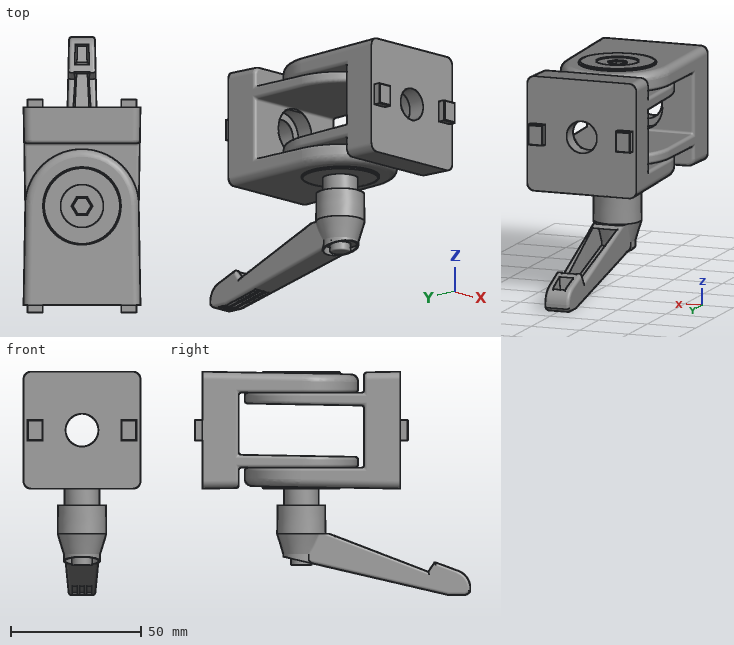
import cadquery as cq
import math


SIZE = 45.0
FACE_Y = 38.0
BLOCK_DEPTH = 14.0
DRAFT_ANGLE = math.radians(1.0)
DRAFT = math.tan(DRAFT_ANGLE)
TIP_RADIUS = (SIZE / 2 - FACE_Y * DRAFT) * math.cos(DRAFT_ANGLE)
MATE_Z = 14.4
INNER_ARM = 5.0
EDGE_FILLET = 3.0
CAVITY_FILLET = 1.3
ROOT_FILLET = 1.0
BORE_DIAMETER = 12.5
BORE_DEPTH = 7.0
COUNTERBORE_DIAMETER = 18.5
WALL_Y = FACE_Y - BLOCK_DEPTH

PAD_X = 18.0
PAD_WIDTH = 6.0
PAD_HEIGHT = 8.0
PAD_DEPTH = 3.0
PAD_CHAMFER = 0.3

DISC_DIAMETER = 30.0
DISC_CHAMFER = 0.5
DISC_Z = SIZE / 2

HEAD_SEAT_DIAMETER = 16.5
HEAD_SINK = 0.5
SOCKET_FLATS = 6.0
SOCKET_DEPTH = 4.0
SOCKET_CHAMFER = 0.5

STEM_DIAMETER = 13.5
BARREL_TOP_Z = -28.8
BARREL_TOP_DIAMETER = 18.5
CONE_TOP_Z = -39.75
CONE_TOP_DIAMETER = 18.8
HUB_Z = -47.6
HUB_DIAMETER = 14.0
NUT_RECESS_DIAMETER = 13.0
NUT_RECESS_Z = -48.6
NUT_DIAMETER = 8.0
NUT_END_Z = -51.8
NUT_FILLET = 0.5

LEVER_TIP_Y = 64.9
OVERALL_HEIGHT = 85.84
LEVER_BOTTOM_Z = DISC_Z - OVERALL_HEIGHT
LEVER_TIP_WIDTH = 10.0
LEVER_HUB_WIDTH = 13.1
LEVER_FILLET = 1.2
CONE_FILLET = 1.0
ARM_SLOPE = 0.2325
ARM_AXIS_Z = -50.2
ARM_SHOULDER_Y = 10.8
NOTCH_ROOT = (48.7, -54.3)
NOTCH_PEAK = (51.2, -50.6)
NOSE_START = (59.8, -53.8)
NOSE_MIDDLE = (63.4, -56.3)
NOSE_END_Z = -60.2
CHIN_START_Z = -61.8
CHIN_MIDDLE = (64.2, -62.6)
CHIN_END_Y = 61.0
HEEL_START_Y = 56.5
HEEL_END_Y = 53.0

POCKET_FLOOR = 2.5
POCKET_WIDTH = 3.3
POCKET_DRAFT = 6.0
CHANNEL_END_Y = 50.3
CHANNEL_START_Y = 7.0
CHANNEL_START_WIDTH = 5.6
TIP_POCKET_START_Y = 55.5
TIP_POCKET_END_Y = 61.2

GROOVE_COUNT = 3
GROOVE_WIDTH = 1.8
GROOVE_PITCH = 2.8
GROOVE_DEPTH = 0.9
GROOVE_START_Y = 41.5


def side_prism(points, width=SIZE):
    """Prism along X, centred, from a closed outline of (y, z) points."""
    return cq.Workplane("YZ").polyline(points).close().extrude(width / 2, both=True)


def clamp_plan():
    """Tall prism with the clamp's outline seen along the hinge axis: tapered sides, round tip."""
    tangent_x = TIP_RADIUS * math.cos(DRAFT_ANGLE)
    tangent_y = TIP_RADIUS * math.sin(DRAFT_ANGLE)
    return (
        cq.Workplane("XY")
        .moveTo(-tangent_x, tangent_y)
        .lineTo(-SIZE / 2, -FACE_Y)
        .lineTo(SIZE / 2, -FACE_Y)
        .lineTo(tangent_x, tangent_y)
        .threePointArc((0, TIP_RADIUS), (-tangent_x, tangent_y))
        .close()
        .extrude(SIZE, both=True)
    )


def clamp_profile():
    """Prism along X with the clamp's side outline: block, outer arm on top, inner arm below."""
    arm_length = WALL_Y + SIZE
    draft_drop = arm_length * DRAFT
    top_root_z = SIZE / 2 - BLOCK_DEPTH * DRAFT
    inner_root_z = INNER_ARM - MATE_Z
    outline = [
        (-FACE_Y, SIZE / 2),
        (SIZE, top_root_z - draft_drop),
        (SIZE, MATE_Z),
        (-WALL_Y, MATE_Z),
        (-WALL_Y, inner_root_z),
        (SIZE, inner_root_z - draft_drop),
        (SIZE, -MATE_Z),
        (-WALL_Y, -MATE_Z),
        (-WALL_Y, -top_root_z),
        (-FACE_Y, -SIZE / 2),
    ]
    return side_prism(outline, 2 * SIZE)


def edges_within(x_range, y_range, z_range):
    """Selector for the edges whose middle lies in the given limits."""
    low, high = zip(x_range, y_range, z_range)
    return cq.selectors.BoxSelector(low, high)


def clamp_body():
    """Clamp half with its outside, root and cavity edges rounded."""
    across = (-SIZE, SIZE)
    at_middle = (-1, 1)
    behind_face = (1 - FACE_Y, SIZE)
    block = (1 - FACE_Y, -WALL_Y - 1)
    wall = (-WALL_Y - 1, 2 - WALL_Y)
    beyond_block = (-WALL_Y - 1, SIZE)

    body = clamp_plan().intersect(clamp_profile())
    outer_edges = edges_within(across, behind_face, (SIZE / 2 - 2, SIZE))
    block_edges = edges_within(across, block, (-SIZE, 2 - SIZE / 2))
    body = body.edges(outer_edges + block_edges).fillet(EDGE_FILLET)

    roots = edges_within(at_middle, wall, (-MATE_Z - 2, SIZE))
    cavity_edges = edges_within(across, beyond_block, (-SIZE, MATE_Z + 1)) - roots
    body = body.edges(cavity_edges).fillet(CAVITY_FILLET)
    return body.edges(roots).fillet(ROOT_FILLET)


def locating_pad():
    """Pad on the mounting face, on the middle of the part."""
    return (
        cq.Workplane("XZ", origin=(0, -FACE_Y, 0))
        .rect(PAD_WIDTH, PAD_HEIGHT)
        .extrude(PAD_DEPTH)
        .faces("<Y")
        .chamfer(PAD_CHAMFER)
    )


def hinge_disc():
    """Raised disc on the outer arm."""
    return (
        cq.Workplane("XY", origin=(0, 0, DISC_Z))
        .circle(DISC_DIAMETER / 2)
        .extrude(MATE_Z + CAVITY_FILLET - DISC_Z)
        .faces(">Z")
        .chamfer(DISC_CHAMFER)
    )


def clamp_half():
    """Front clamp half with pads, stepped bore and hinge disc."""
    half = clamp_body().union(hinge_disc())
    for side in (-1, 1):
        half = half.union(locating_pad().translate((side * PAD_X, 0, 0)))
    wall = cq.Workplane("XZ", origin=(0, -WALL_Y, 0))
    bore = wall.circle(BORE_DIAMETER / 2).extrude(BLOCK_DEPTH)
    counterbore = wall.circle(COUNTERBORE_DIAMETER / 2).extrude(BLOCK_DEPTH - BORE_DEPTH)
    return half.cut(bore).cut(counterbore)


def cut_screw_head(half):
    """Sunk screw head with a hexagon socket in it."""
    seat = cq.Workplane("XY", origin=(0, 0, DISC_Z)).circle(HEAD_SEAT_DIAMETER / 2).extrude(-HEAD_SINK)
    top = cq.Workplane("XY", origin=(0, 0, DISC_Z - HEAD_SINK))
    corners = SOCKET_FLATS / math.cos(math.pi / 6)
    mouth_corners = (SOCKET_FLATS + 2 * SOCKET_CHAMFER) / math.cos(math.pi / 6)
    socket = top.polygon(6, corners).extrude(-SOCKET_DEPTH)
    mouth = top.polygon(6, mouth_corners).workplane(offset=-SOCKET_CHAMFER).polygon(6, corners).loft()
    return half.cut(seat).cut(socket).cut(mouth)


def underside_z(y):
    """Height of the lever's sloped underside at a distance from the hinge axis."""
    return ARM_AXIS_Z - ARM_SLOPE * y


def turned(points):
    """Solid of revolution about the hinge axis from an (r, z) outline closed along the axis."""
    return cq.Workplane("XZ").polyline(points).close().revolve(360, (0, 0, 0), (0, 1, 0))


def lever_barrel():
    """Stem, barrel and cone of the lever."""
    return turned([
        (0, -MATE_Z - CAVITY_FILLET),
        (STEM_DIAMETER / 2, -MATE_Z - CAVITY_FILLET),
        (STEM_DIAMETER / 2, BARREL_TOP_Z),
        (BARREL_TOP_DIAMETER / 2, BARREL_TOP_Z),
        (CONE_TOP_DIAMETER / 2, CONE_TOP_Z),
        (HUB_DIAMETER / 2, HUB_Z),
        (0, HUB_Z),
    ])


def arm_side():
    """Side outline of the lever arm, extruded across the part."""
    return (
        cq.Workplane("YZ")
        .moveTo(-HUB_DIAMETER / 2, CONE_TOP_Z)
        .lineTo(ARM_SHOULDER_Y, CONE_TOP_Z)
        .lineTo(*NOTCH_ROOT)
        .lineTo(*NOTCH_PEAK)
        .lineTo(*NOSE_START)
        .threePointArc(NOSE_MIDDLE, (LEVER_TIP_Y, NOSE_END_Z))
        .lineTo(LEVER_TIP_Y, CHIN_START_Z)
        .threePointArc(CHIN_MIDDLE, (CHIN_END_Y, LEVER_BOTTOM_Z))
        .lineTo(HEEL_START_Y, LEVER_BOTTOM_Z)
        .lineTo(HEEL_END_Y, underside_z(HEEL_END_Y))
        .lineTo(-HUB_DIAMETER / 2, underside_z(-HUB_DIAMETER / 2))
        .close()
        .extrude(SIZE / 2, both=True)
    )


def arm_plan():
    """Plan outline of the lever arm, a hub circle with sides tapering to the tip."""
    hub_radius = HUB_DIAMETER / 2
    side_x = LEVER_HUB_WIDTH / 2
    side_y = -math.sqrt(hub_radius**2 - side_x**2)
    return (
        cq.Workplane("XY", origin=(0, 0, LEVER_BOTTOM_Z))
        .moveTo(-LEVER_TIP_WIDTH / 2, LEVER_TIP_Y)
        .lineTo(LEVER_TIP_WIDTH / 2, LEVER_TIP_Y)
        .lineTo(side_x, side_y)
        .threePointArc((0, -hub_radius), (-side_x, side_y))
        .close()
        .extrude(SIZE)
    )


def lever_arm():
    """Sloped arm with a notched grip at its end, rounded along its long edges."""
    arm = arm_side().intersect(arm_plan())
    along_arm = (HUB_DIAMETER, 2 * SIZE)
    any_height = (-2 * SIZE, 0)
    left_edges = edges_within((-SIZE, -1), along_arm, any_height)
    right_edges = edges_within((1, SIZE), along_arm, any_height)
    return arm.edges(left_edges + right_edges).fillet(LEVER_FILLET)


def lever_hub():
    """Round hub below the cone, cut off along the sloped underside."""
    hub_radius = HUB_DIAMETER / 2
    hub = cq.Workplane("XY", origin=(0, 0, HUB_Z)).circle(hub_radius).extrude(LEVER_BOTTOM_Z - HUB_Z)
    above_underside = side_prism([
        (-hub_radius, underside_z(-hub_radius)),
        (hub_radius, underside_z(hub_radius)),
        (hub_radius, HUB_Z),
        (-hub_radius, HUB_Z),
    ])
    return hub.intersect(above_underside)


def draft_pocket(start, end):
    """Upward-widening cutter; start and end are (y, width) at the lever's lowest level."""
    rise = SIZE / 2
    growth = rise * math.tan(math.radians(POCKET_DRAFT))
    start_y, start_width = start
    end_y, end_width = end

    def outline(offset):
        start_x = start_width / 2 + offset
        end_x = end_width / 2 + offset
        low_y = start_y - offset
        high_y = end_y + offset
        return [(-start_x, low_y), (start_x, low_y), (end_x, high_y), (-end_x, high_y)]

    cutter = (
        cq.Workplane("XY", origin=(0, 0, LEVER_BOTTOM_Z))
        .polyline(outline(0))
        .close()
        .workplane(offset=rise)
        .polyline(outline(growth))
        .close()
        .loft(ruled=True)
    )
    above_floor = side_prism([
        (0, underside_z(0) + POCKET_FLOOR),
        (2 * SIZE, underside_z(2 * SIZE) + POCKET_FLOOR),
        (2 * SIZE, 0),
        (0, 0),
    ])
    return cutter.intersect(above_floor)


def grip_grooves():
    """Shallow grooves along the underside of the grip."""
    grooves = cq.Workplane("XY")
    for i in range(GROOVE_COUNT):
        x = (i - (GROOVE_COUNT - 1) / 2) * GROOVE_PITCH
        groove = side_prism([
            (GROOVE_START_Y, underside_z(GROOVE_START_Y) - 1),
            (GROOVE_START_Y, underside_z(GROOVE_START_Y) + GROOVE_DEPTH),
            (HEEL_END_Y, underside_z(HEEL_END_Y) + GROOVE_DEPTH),
            (CHIN_END_Y, LEVER_BOTTOM_Z + GROOVE_DEPTH),
            (CHIN_END_Y, LEVER_BOTTOM_Z - 1),
        ], GROOVE_WIDTH)
        grooves = grooves.add(groove.translate((x, 0, 0)))
    return grooves.combine()


def clamping_lever():
    """Lever with stem, barrel, hollowed arm and the nut end in its underside recess."""
    channel = draft_pocket((CHANNEL_START_Y, CHANNEL_START_WIDTH), (CHANNEL_END_Y, POCKET_WIDTH))
    tip_pocket = draft_pocket((TIP_POCKET_START_Y, POCKET_WIDTH), (TIP_POCKET_END_Y, POCKET_WIDTH))
    arm = lever_arm().cut(channel).cut(tip_pocket).cut(grip_grooves())
    recess_plane = cq.Workplane("XY", origin=(0, 0, NUT_RECESS_Z))
    recess = recess_plane.circle(NUT_RECESS_DIAMETER / 2).extrude(LEVER_BOTTOM_Z - NUT_RECESS_Z)
    nut = recess_plane.circle(NUT_DIAMETER / 2).extrude(NUT_END_Z - NUT_RECESS_Z)
    nut = nut.faces("<Z").edges().fillet(NUT_FILLET)
    lever = lever_barrel().union(lever_hub()).union(arm)
    cone_side_joints = "%HYPERBOLA"
    lever = lever.edges(cone_side_joints).fillet(CONE_FILLET)
    return lever.cut(recess).union(nut)


front_half = cut_screw_head(clamp_half())
rear_half = clamp_half().rotate((0, 0, 0), (1, 0, 0), 180).union(clamping_lever())

result = cq.Compound.makeCompound([front_half.val(), rear_half.val()])